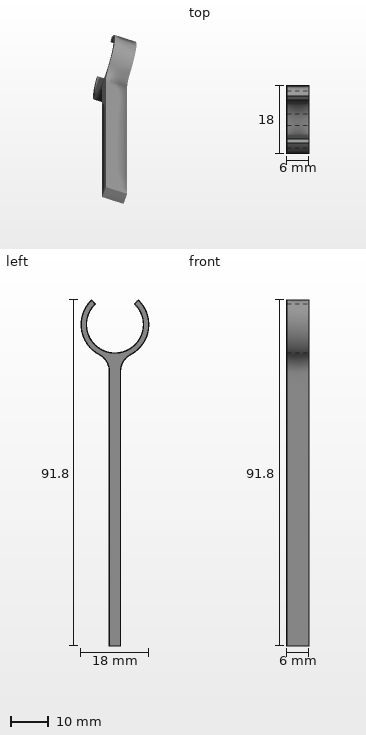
import cadquery as cq
import math

total_height = 91.8
width = 6.0

outer_radius = 9.0
inner_radius = 7.5
opening_half_angle = 43.5

stem_thickness = 3.0
blend_radius = 5.0

opening_angle = math.radians(opening_half_angle)
ring_center_z = total_height - outer_radius * math.cos(opening_angle)


def x_cylinder(radius):
    """Cylinder along X on the ring axis, centered on X = 0."""
    return (
        cq.Workplane("YZ")
        .center(0, ring_center_z)
        .circle(radius)
        .extrude(width / 2, both=True)
    )


def stem():
    """Straight bar from the base up to the ring axis."""
    return cq.Workplane("XY").rect(width, stem_thickness).extrude(ring_center_z)


def opening_wedge():
    """Wedge from the ring axis upward that opens the ring."""
    wedge_height = 2 * outer_radius
    half_width = wedge_height * math.tan(opening_angle)
    return (
        cq.Workplane("YZ")
        .moveTo(0, ring_center_z)
        .lineTo(half_width, ring_center_z + wedge_height)
        .lineTo(-half_width, ring_center_z + wedge_height)
        .close()
        .extrude(width / 2, both=True)
    )


body = x_cylinder(outer_radius).union(stem())
joint_z = ring_center_z - math.sqrt(outer_radius**2 - (stem_thickness / 2) ** 2)
joint_margin = 0.1
joint_edges = cq.selectors.BoxSelector(
    (-width, -stem_thickness, joint_z - joint_margin),
    (width, stem_thickness, joint_z + joint_margin),
)
body = body.edges("|X").edges(joint_edges).fillet(blend_radius)

result = body.cut(x_cylinder(inner_radius)).cut(opening_wedge())